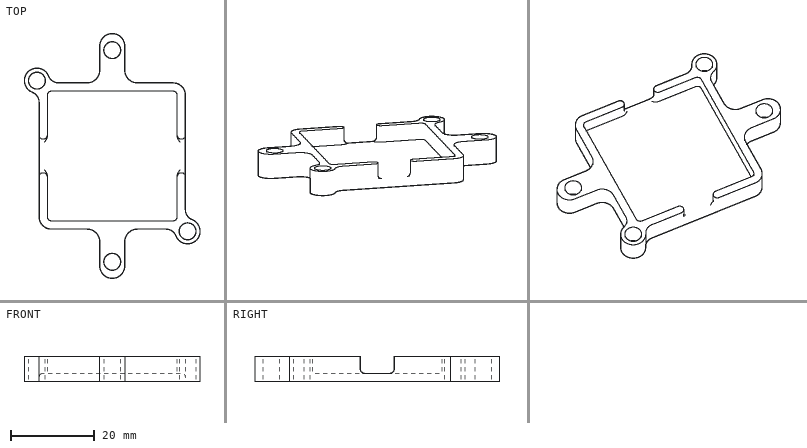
import cadquery as cq
import math

length = 58.5
width = 42.0
height = 6.0
body_side = 35.0
wall = 2.0
floor = 2.0
body_corner_radius = 3.0
cavity_corner_radius = 1.0
arm_width = 6.0
arm_root_radius = 3.0
arm_hole_inset = 4.0
ear_diameter = 6.0
ear_root_radius = 2.5
hole_diameter = 4.0
notch_width = 8.0
notch_corner_radius = 1.0

half_body = body_side / 2
cavity_side = body_side - 2 * wall
arm_hole_y = length / 2 - arm_hole_inset
ear_offset = (width - ear_diameter) / 2
ear_radius = ear_diameter / 2
ear_root_offset = ear_offset - math.sqrt(ear_radius**2 - (ear_offset - half_body) ** 2)
rim_land = 0.01
rim_radius = (wall - rim_land) / 2

ear_centres = [(-ear_offset, ear_offset), (ear_offset, -ear_offset)]
arm_hole_centres = [(0, arm_hole_y), (0, -arm_hole_y)]


def box_around(centre, size):
    """Selector for edges whose centre lies in a box about the given point."""
    low = tuple(c - s / 2 for c, s in zip(centre, size))
    high = tuple(c + s / 2 for c, s in zip(centre, size))
    return cq.selectors.BoxSelector(low, high)


def fillet_upright_edge(solid, x, y, radius):
    search = box_around((x, y, height / 2), (0.6, 0.6, height))
    return solid.edges("|Z").edges(search).fillet(radius)


def square_prism(side, prism_height):
    return cq.Workplane("XY").rect(side, side).extrude(prism_height)


def make_outline():
    """Square body with an arm on each Y side and an ear on two opposite corners."""
    solid = square_prism(body_side, height)
    for side in (1, -1):
        solid = fillet_upright_edge(solid, side * half_body, side * half_body, body_corner_radius)

    arms = cq.Workplane("XY").slot2D(length, arm_width, 90).extrude(height)
    solid = solid.union(arms)
    for x in (-arm_width / 2, arm_width / 2):
        for y in (-half_body, half_body):
            solid = fillet_upright_edge(solid, x, y, arm_root_radius)

    ears = cq.Workplane("XY").pushPoints(ear_centres).circle(ear_radius).extrude(height)
    solid = solid.union(ears)
    for side in (1, -1):
        solid = fillet_upright_edge(solid, -side * ear_root_offset, side * half_body, ear_root_radius)
        solid = fillet_upright_edge(solid, -side * half_body, side * ear_root_offset, ear_root_radius)
    return solid


def make_cavity():
    return square_prism(cavity_side, height).edges("|Z").fillet(cavity_corner_radius)


def cut_notches(frame):
    """U-shaped notch through both X walls, with its rims rounded inside and out."""
    notch = (
        cq.Workplane("XY")
        .box(width, notch_width, height, centered=(True, True, False))
        .translate((0, 0, floor))
        .edges("|X and <Z")
        .fillet(notch_corner_radius)
    )
    frame = frame.cut(notch)
    rim_size = (wall / 4, notch_width + 0.6, height - 0.6)
    for side in (-1, 1):
        for x in (half_body, half_body - wall):
            rim = box_around((side * x, 0, height / 2), rim_size)
            frame = frame.edges(rim).fillet(rim_radius)
    return frame


def cut_holes(solid):
    holes = (
        cq.Workplane("XY")
        .pushPoints(arm_hole_centres + ear_centres)
        .circle(hole_diameter / 2)
        .extrude(height)
    )
    return solid.cut(holes)


frame = cut_notches(make_outline().cut(make_cavity()))
floor_plate = square_prism(body_side - wall, floor)
result = cut_holes(frame.union(floor_plate))